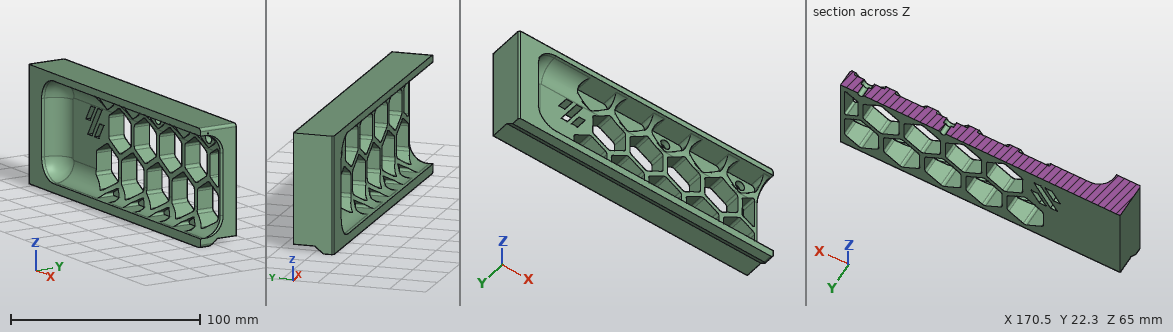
import cadquery as cq
import math

length = 170.5
nib_reach = 0.2
body_length = length - nib_reach
depth = 22.3
height = 65.0

lip_depth = 5.6
ramp_end = 10.5
rebate_height = 4.0

left_bevel_x = 0.7
left_bevel_y = 1.0
end_radius = 1.7

pocket_left = 13.0
pocket_bottom = 5.1
pocket_top = 60.9
pocket_depth = 12.8
cove_radius = 10.9
pocket_corner_radius = 12.0
pocket_bevel_x = 0.77
pocket_bevel_y = 1.4

hex_width = 22.0
hex_gap = 3.0
hex_pitch = hex_width + hex_gap
row_pitch = hex_pitch * math.sqrt(3) / 2
hex_corner_radius = 2.2
sharp_corner_radius = 1.0
first_hex_x = 57.8
first_hex_z = 19.6
honeycomb_end = 167.8
columns = 5
bottom_row = -1
top_row = 2

slot_width = 4.1
slot_middle_z = 41.1
slot_rise = 8.0
slot_slant = 0.63
slot_pitch = 6.8
first_slot_x = 36.5

screw_columns = (2, 4)
screw_z = 55.8
screw_diameter = 3.2
screw_head_diameter = 6.0
screw_head_depth = 3.4

nib_size = 0.5
nib_y = 4.6
nib_z = 61.9


def front_plane():
    """Sketch plane on the front face, facing -Y, with sketch x along X and sketch y along Z."""
    return cq.Workplane("XZ")


def pocket_window(right_end):
    """Rectangle over the pocket's height, from its left wall to the given X."""
    return (
        front_plane()
        .moveTo(pocket_left, pocket_bottom)
        .lineTo(right_end, pocket_bottom)
        .lineTo(right_end, pocket_top)
        .lineTo(pocket_left, pocket_top)
        .close()
    )


def block():
    profile = [
        (0, 0),
        (lip_depth, 0),
        (ramp_end, rebate_height),
        (depth, rebate_height),
        (depth, height),
        (0, height),
    ]
    body = cq.Workplane("YZ").polyline(profile).close().extrude(body_length)
    bevel = [(0, 0), (left_bevel_x, 0), (0, left_bevel_y)]
    body = body.cut(cq.Workplane("XY").polyline(bevel).close().extrude(height))
    body = body.faces(">X").edges(">Z").fillet(end_radius)
    return body.faces(">X").edges("<Z").fillet(end_radius)


def pocket():
    """Pocket with rounded left corners and a coved rim around its flat floor."""
    tool = pocket_window(body_length).extrude(-pocket_depth)
    tool = tool.edges("|Y and <X").fillet(pocket_corner_radius)
    return tool.faces(">Y").edges("not >X").fillet(cove_radius)


def pocket_bevel(pocket_tool):
    """The pocket's end profile slanted backward, which bevels the +X edge of its cove and floor."""
    profile = pocket_tool.faces(">X").wires().val()
    profile = profile.translate(cq.Vector(-pocket_bevel_x, 0, 0))
    slant = cq.Vector(pocket_bevel_x, pocket_bevel_y, 0)
    return cq.Workplane(cq.Solid.extrudeLinear(profile, [], slant))


def hexagon(x, z):
    """Hexagon with a corner straight up."""
    corner_radius = hex_width / math.sqrt(3)
    angles = [math.radians(60 * i) for i in range(6)]
    corners = [(x + corner_radius * math.sin(a), z + corner_radius * math.cos(a)) for a in angles]
    return front_plane().polyline(corners).close()


def honeycomb():
    """Two rows of through cells between two rows of blind cells that end level with the pocket floor.

    The outline of the pocket and the margin at the +X end trim the cells that cross them.
    """
    trim = pocket_window(honeycomb_end).extrude(-depth)
    cells = cq.Workplane()
    for row in (bottom_row, 0, 1, top_row):
        is_blind = row in (bottom_row, top_row)
        is_shifted = row % 2 == 1
        row_columns = columns - 1 if row == bottom_row else columns
        for column in range(row_columns):
            x = first_hex_x + (column + is_shifted / 2) * hex_pitch
            z = first_hex_z + row * row_pitch
            is_sharp = row == bottom_row or x > honeycomb_end
            cell = hexagon(x, z).extrude(-pocket_depth if is_blind else -depth).intersect(trim)
            cell = cell.edges("|Y").fillet(sharp_corner_radius if is_sharp else hex_corner_radius)
            cells.add(cell)
    return cells.combine()


def slots():
    """Three parallel slots: a short upper, a long middle and a short lower one."""
    spans = [(0, slot_rise), (-slot_rise, slot_rise), (-slot_rise, 0)]
    tool = front_plane()
    for i, (low, high) in enumerate(spans):
        x = first_slot_x + i * slot_pitch
        tool = tool.polyline([
            (x + low * slot_slant, slot_middle_z + low),
            (x + low * slot_slant + slot_width, slot_middle_z + low),
            (x + high * slot_slant + slot_width, slot_middle_z + high),
            (x + high * slot_slant, slot_middle_z + high),
        ]).close()
    return tool.extrude(-depth)


def screw_holes():
    points = [(first_hex_x + column * hex_pitch, screw_z) for column in screw_columns]
    shanks = front_plane().pushPoints(points).circle(screw_diameter / 2).extrude(-depth)
    heads = (
        front_plane()
        .pushPoints(points)
        .circle(screw_head_diameter / 2)
        .extrude(-(pocket_depth + screw_head_depth))
    )
    return shanks.union(heads)


def nib():
    box = cq.Workplane("XY").box(2 * nib_reach, nib_size, nib_size)
    return box.translate((body_length, nib_y, nib_z))


pocket_tool = pocket()
result = (
    block()
    .cut(pocket_tool)
    .cut(pocket_bevel(pocket_tool))
    .cut(honeycomb())
    .cut(slots())
    .cut(screw_holes())
    .union(nib())
)